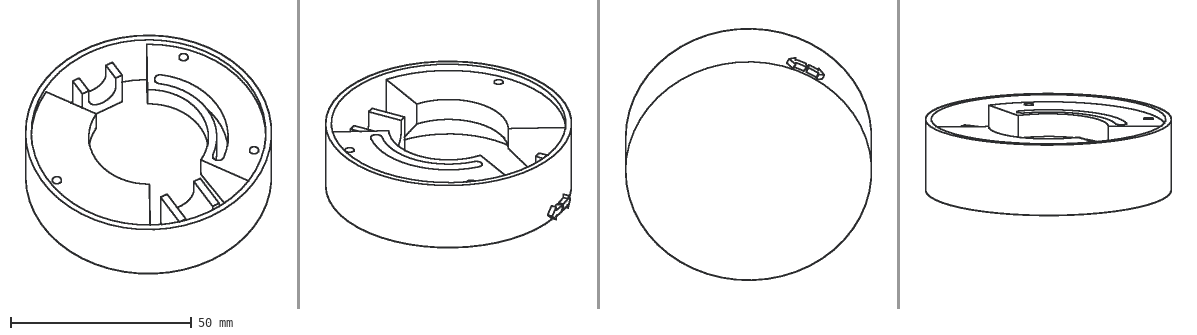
import cadquery as cq
import math

total_length_x = 69.8
outer_diameter = 68.3
inner_diameter = 65.1
height = 20.0
floor_thickness = 2.0
rim_depth = 2.0

block_bore_radius = 16.6
block_foot_radius = 25.0
undercut_top = 11.6
block_side_angle = 30.0

screw_diameter = 2.5
screw_circle_radius = 29.65
screw_angles = (50.0, 130.0, 270.0)

slot_radius = 20.5
slot_width = 3.15
slot_end_angle = 40.0
slot_depth = 6.7

cradle_width = 12.85
cradle_top = 14.0
cradle_opening = 8.65
cradle_bore_top = 9.5
cradle_bore_bottom = 5.7
long_cradle_start = 17.25
long_cradle_length = 10.2
short_cradle_start = -30.3
short_cradle_length = 5.2

arrow_center_y = -0.4
arrow_center_z = 2.45
arrow_gap = 0.7
arrow_shaft_length = 3.2
arrow_shaft_width = 1.95
arrow_head_length = 1.95
arrow_head_width = 4.05

outer_radius = outer_diameter / 2
inner_radius = inner_diameter / 2
wall_middle_radius = (outer_radius + inner_radius) / 2
arrow_face_radius = total_length_x - outer_radius
block_top = height - rim_depth
block_height = block_top - floor_thickness


def polar(radius, angle):
    """Point at a radius and an angle in degrees from +X."""
    turn = math.radians(angle)
    return (radius * math.cos(turn), radius * math.sin(turn))


def make_cup():
    cup = cq.Workplane("XY").circle(outer_radius).extrude(height)
    cavity = cq.Workplane("XY").workplane(offset=floor_thickness).circle(inner_radius).extrude(height)
    return cup.cut(cavity)


def make_block(middle_angle):
    """Sector block with a conical undercut, centered on the given angle."""
    sweep_angle = 180 - 2 * block_side_angle
    block = (
        cq.Workplane("XZ")
        .moveTo(block_foot_radius, 0)
        .lineTo(wall_middle_radius, 0)
        .lineTo(wall_middle_radius, block_top)
        .lineTo(block_bore_radius, block_top)
        .lineTo(block_bore_radius, undercut_top)
        .lineTo(block_foot_radius, floor_thickness)
        .close()
        .revolve(sweep_angle, (0, 0, 0), (0, -1, 0))
    )
    return block.rotate((0, 0, 0), (0, 0, 1), middle_angle + sweep_angle / 2)


def make_screw_holes():
    centers = [polar(screw_circle_radius, angle) for angle in screw_angles]
    top_plane = cq.Workplane("XY").workplane(offset=block_top)
    return top_plane.pushPoints(centers).circle(screw_diameter / 2).extrude(-block_height)


def make_slot():
    """Arc-shaped pocket with round ends, centered on the Y axis."""
    inner = slot_radius - slot_width / 2
    outer = slot_radius + slot_width / 2
    end_tilt = math.degrees(slot_width / 2 / slot_radius)
    right_angle = slot_end_angle
    left_angle = 180 - slot_end_angle
    return (
        cq.Workplane("XY")
        .workplane(offset=block_top)
        .moveTo(*polar(outer, right_angle))
        .threePointArc(polar(outer, 90), polar(outer, left_angle))
        .threePointArc(polar(slot_radius, left_angle + end_tilt), polar(inner, left_angle))
        .threePointArc(polar(inner, 90), polar(inner, right_angle))
        .threePointArc(polar(slot_radius, right_angle - end_tilt), polar(outer, right_angle))
        .close()
        .extrude(-slot_depth)
    )


def make_cradle(start_x, length):
    """Round-bottomed U-shaped support for a bar lying along X."""
    return (
        cq.Workplane("YZ")
        .workplane(offset=start_x)
        .moveTo(-cradle_width / 2, 0)
        .lineTo(cradle_width / 2, 0)
        .lineTo(cradle_width / 2, cradle_top)
        .lineTo(cradle_opening / 2, cradle_top)
        .lineTo(cradle_opening / 2, cradle_bore_top)
        .threePointArc(
            (0, cradle_bore_bottom),
            (-cradle_opening / 2, cradle_bore_top),
        )
        .lineTo(-cradle_opening / 2, cradle_top)
        .lineTo(-cradle_width / 2, cradle_top)
        .close()
        .extrude(length)
    )


def make_arrow(direction):
    """Raised arrow on the -X side, pointing along +Y (1) or -Y (-1)."""
    tail = arrow_gap / 2
    neck = tail + arrow_shaft_length
    tip = neck + arrow_head_length
    half_shaft = arrow_shaft_width / 2
    half_head = arrow_head_width / 2
    outline = [
        (tail, half_shaft),
        (neck, half_shaft),
        (neck, half_head),
        (tip, 0),
        (neck, -half_head),
        (neck, -half_shaft),
        (tail, -half_shaft),
    ]
    prism = (
        cq.Workplane("YZ", origin=(0, arrow_center_y, arrow_center_z))
        .polyline([(direction * along, across) for along, across in outline])
        .close()
        .extrude(-total_length_x)
    )
    shell = cq.Workplane("XY").circle(arrow_face_radius).circle(wall_middle_radius).extrude(height)
    return prism.intersect(shell)


result = make_cup()
for middle_angle in (90, 270):
    result = result.union(make_block(middle_angle))
result = result.cut(make_screw_holes()).cut(make_slot())

result = result.union(make_cradle(long_cradle_start, long_cradle_length))
result = result.union(make_cradle(short_cradle_start, short_cradle_length))

for direction in (1, -1):
    result = result.union(make_arrow(direction))